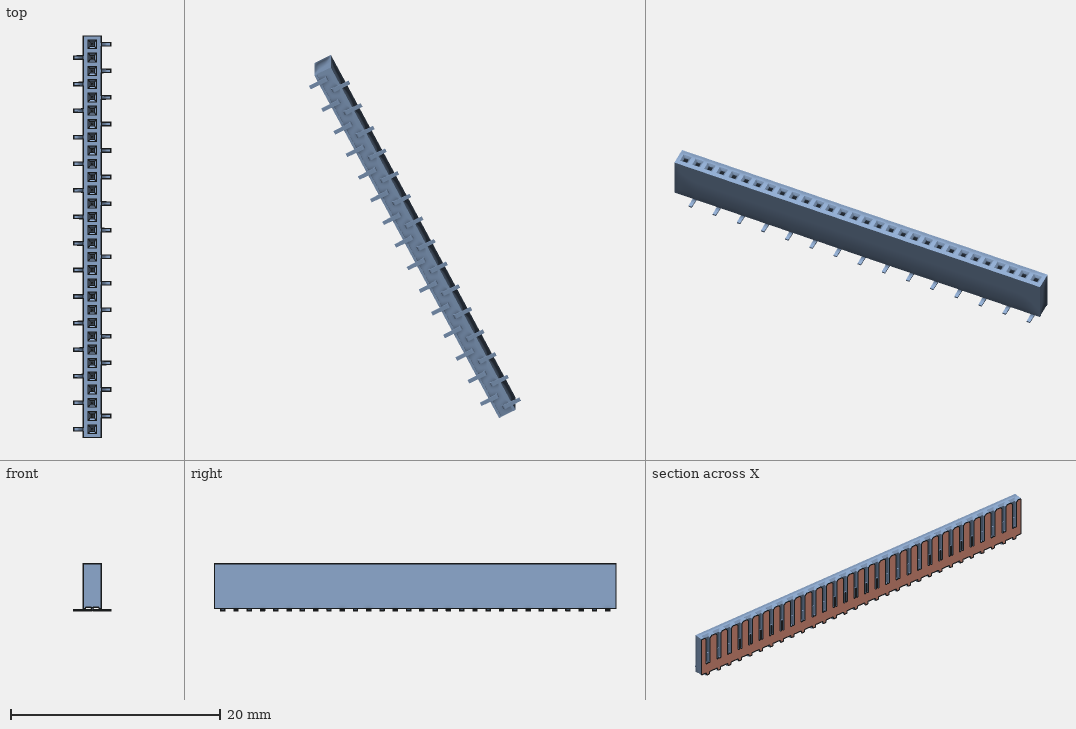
import cadquery as cq

body_length = 38.45
overall_width = 3.58
overall_height = 4.55

body_width = 1.75
body_lift = 0.23
channel_width = 1.25
channel_height = 0.1
channel_top = body_lift + channel_height

contact_count = 30
end_margin = 0.8
pitch = (body_length - 2 * end_margin) / (contact_count - 1)

funnel_size = 0.85
hole_size = 0.42
funnel_depth = (funnel_size - hole_size) / 2
socket_depth = 3.08

pin_size = 0.15
pin_top_depth = 1.92
pin_top = overall_height - pin_top_depth
strip_thickness = pin_size
inner_bend_radius = 0.08
outer_bend_radius = inner_bend_radius + strip_thickness
foot_tip_width = 0.35
foot_tip_length = 0.3
foot_root_width = 0.42


def make_body():
    """Long bar with a shallow channel along its underside."""
    half_body = body_width / 2
    half_channel = channel_width / 2
    profile = [
        (-half_body, overall_height),
        (half_body, overall_height),
        (half_body, body_lift),
        (half_channel, body_lift),
        (half_channel, channel_top),
        (-half_channel, channel_top),
        (-half_channel, body_lift),
        (-half_body, body_lift),
    ]
    return cq.Workplane("XZ").polyline(profile).close().extrude(body_length / 2, both=True)


def make_socket():
    """Space of one socket, centred on the Z axis."""
    funnel = (
        cq.Workplane("XY", origin=(0, 0, overall_height))
        .rect(funnel_size, funnel_size)
        .workplane(offset=-funnel_depth)
        .rect(hole_size, hole_size)
        .loft(ruled=True)
    )
    hole = (
        cq.Workplane("XY", origin=(0, 0, overall_height - socket_depth))
        .rect(hole_size, hole_size)
        .extrude(socket_depth - funnel_depth)
    )
    return funnel.union(hole)


def make_foot():
    """Strip that drops from the channel roof, bends and runs out along +X, tapering in plan."""
    back_x = -pin_size / 2
    front_x = back_x + strip_thickness
    tip_x = overall_width / 2
    bend_x = back_x + outer_bend_radius
    half_root = foot_root_width / 2
    bent_strip = (
        cq.Workplane("XZ")
        .moveTo(back_x, channel_top)
        .lineTo(back_x, outer_bend_radius)
        .radiusArc((bend_x, 0), -outer_bend_radius)
        .lineTo(tip_x, 0)
        .lineTo(tip_x, strip_thickness)
        .lineTo(bend_x, strip_thickness)
        .radiusArc((front_x, outer_bend_radius), inner_bend_radius)
        .lineTo(front_x, channel_top)
        .close()
        .extrude(half_root, both=True)
    )
    shoulder_x = tip_x - foot_tip_length
    half_tip = foot_tip_width / 2
    outline = [
        (back_x, half_root),
        (shoulder_x, half_tip),
        (tip_x, half_tip),
        (tip_x, -half_tip),
        (shoulder_x, -half_tip),
        (back_x, -half_root),
    ]
    plan = cq.Workplane("XY").polyline(outline).close().extrude(channel_top)
    return bent_strip.intersect(plan)


def make_contact():
    """Contact on the Z axis with its foot pointing along +X."""
    pin = (
        cq.Workplane("XY", origin=(0, 0, channel_top))
        .rect(pin_size, pin_size)
        .extrude(pin_top - channel_top)
    )
    return make_foot().union(pin)


row_start = end_margin - body_length / 2
positions = [(0, row_start + index * pitch) for index in range(contact_count)]

socket = make_socket().val()
contact_right = make_contact()
contact_left = contact_right.rotate((0, 0, 0), (0, 0, 1), 180)

result = (
    make_body()
    .copyWorkplane(cq.Workplane("XY"))
    .pushPoints(positions)
    .eachpoint(socket.moved, combine="cut")
)
for contact, contact_positions in ((contact_left, positions[0::2]), (contact_right, positions[1::2])):
    result = (
        result.copyWorkplane(cq.Workplane("XY"))
        .pushPoints(contact_positions)
        .eachpoint(contact.val().moved, combine=True)
    )